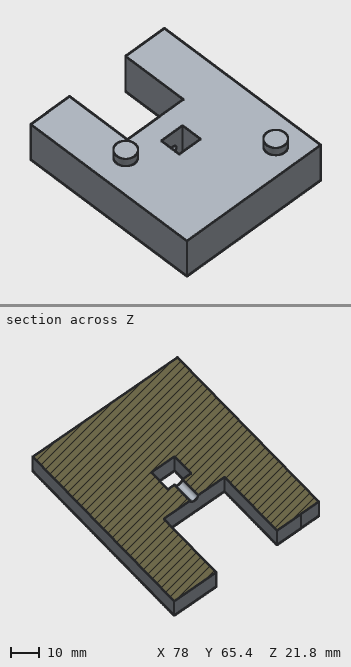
import cadquery as cq

length = 77.95
width = 65.4
total_height = 21.8
pin_height = 3.75
block_height = total_height - pin_height

notch_depth = 28.85
notch_width = 27.3
notch_floor_x = -length / 2 + notch_depth

wall_thickness = 8.7
window_length = 9.0
window_width = 10.4
window_y = -0.5
window_x = notch_floor_x + wall_thickness + window_length / 2

cross_hole_diameter = 3.4

pin_diameter = 8.65
pin_centres = [(-4.5, -19.95), (28.4, 21.05)]

relief_depth = 0.1
relief_width = 8.2


def make_block():
    return cq.Workplane("XY").box(length, width, block_height, centered=(True, True, False))


def make_notch():
    return (
        cq.Workplane("XY")
        .center(-length / 2 + notch_depth / 2, 0)
        .rect(notch_depth, notch_width)
        .extrude(block_height)
    )


def make_window():
    return (
        cq.Workplane("XY")
        .center(window_x, window_y)
        .rect(window_length, window_width)
        .extrude(block_height)
    )


def make_cross_hole():
    return (
        cq.Workplane("YZ", origin=(notch_floor_x, 0, block_height / 2))
        .circle(cross_hole_diameter / 2)
        .extrude(window_x - notch_floor_x)
    )


def make_end_relief():
    return (
        cq.Workplane("XY", origin=(-length / 2, -width / 2, 0))
        .rect(relief_depth, relief_width, centered=False)
        .extrude(block_height)
    )


def make_pins():
    return (
        cq.Workplane("XY", origin=(0, 0, block_height))
        .pushPoints(pin_centres)
        .circle(pin_diameter / 2)
        .extrude(pin_height)
    )


result = (
    make_block()
    .cut(make_notch())
    .cut(make_window())
    .cut(make_cross_hole())
    .cut(make_end_relief())
    .union(make_pins())
)